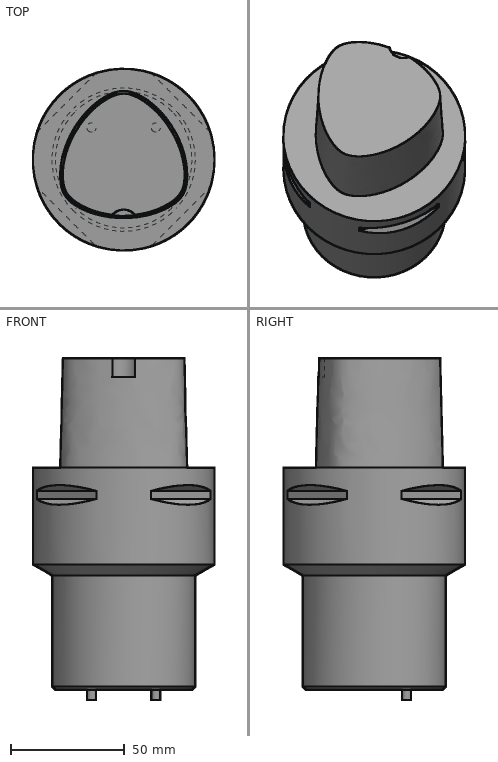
import cadquery as cq
import math

total_height = 150.5
pin_length = 4.5
shank_height = 48.2
flange_bottom_z = 59.7
flange_top_z = total_height - shank_height

flange_radius = 80.0 / 2
body_radius = 63.0 / 2
cone_angle = 30
cone_height = (flange_radius - body_radius) * math.tan(math.radians(cone_angle))
bottom_chamfer = 1.5

shank_base_radius = 28.0
lobe_height = 2.3
taper_per_side = 1 / 40
shank_end_radius = shank_base_radius - shank_height * taper_per_side
outline_points = 72

notch_radius = 6.3
notch_depth = 8.3
notch_center_y = -28.3

groove_count = 4
first_groove_angle = 45
groove_floor_distance = 35.5
groove_floor_height = 3.5
groove_wall_angle = 30
groove_drop = 12.0

pin_diameter = 4.0
pin_offset = 14.1


def make_body():
    """Revolved lower body, cone and flange."""
    return (
        cq.Workplane("XZ")
        .moveTo(0, pin_length)
        .lineTo(body_radius - bottom_chamfer, pin_length)
        .lineTo(body_radius, pin_length + bottom_chamfer)
        .lineTo(body_radius, flange_bottom_z - cone_height)
        .lineTo(flange_radius, flange_bottom_z)
        .lineTo(flange_radius, flange_top_z)
        .lineTo(0, flange_top_z)
        .close()
        .revolve(360, (0, 0, 0), (0, 1, 0))
    )


def lobed_point(mean_radius, angle):
    """Point of a constant-width three-lobed curve with one lobe toward +Y."""
    along_lobe = (
        mean_radius * math.cos(angle)
        + 2 * lobe_height * math.cos(2 * angle)
        - lobe_height * math.cos(4 * angle)
    )
    across_lobe = (
        mean_radius * math.sin(angle)
        - 2 * lobe_height * math.sin(2 * angle)
        - lobe_height * math.sin(4 * angle)
    )
    return (-across_lobe, along_lobe)


def lobed_outline(mean_radius, z):
    """Closed smooth wire of the lobed section at height z."""
    points = []
    for index in range(outline_points):
        x, y = lobed_point(mean_radius, 2 * math.pi * index / outline_points)
        points.append(cq.Vector(x, y, z))
    return cq.Wire.assembleEdges([cq.Edge.makeSpline(points, periodic=True)])


def make_shank():
    """Lobed shank, narrowing upward, with its end notch."""
    base = lobed_outline(shank_base_radius, flange_top_z)
    end = lobed_outline(shank_end_radius, total_height)
    shank = cq.Workplane(cq.Solid.makeLoft([base, end], True))
    notch = (
        cq.Workplane("XY", origin=(0, notch_center_y, total_height - notch_depth))
        .circle(notch_radius)
        .extrude(notch_depth)
    )
    return shank.cut(notch)


def make_groove(angle):
    """Straight groove cutter with flared walls, turned to the given angle about Z."""
    depth = flange_radius - groove_floor_distance
    half_floor = groove_floor_height / 2
    half_mouth = half_floor + depth * math.tan(math.radians(groove_wall_angle))
    middle_z = flange_top_z - groove_drop
    return (
        cq.Workplane("XZ")
        .polyline(
            [
                (groove_floor_distance, middle_z - half_floor),
                (flange_radius, middle_z - half_mouth),
                (flange_radius, middle_z + half_mouth),
                (groove_floor_distance, middle_z + half_floor),
            ]
        )
        .close()
        .extrude(flange_radius, both=True)
        .rotate((0, 0, 0), (0, 0, 1), angle)
    )


def make_pins():
    """Two round pins standing out below the body."""
    return (
        cq.Workplane("XY")
        .pushPoints([(-pin_offset, pin_offset), (pin_offset, pin_offset)])
        .circle(pin_diameter / 2)
        .extrude(pin_length)
    )


result = make_body()
for groove_index in range(groove_count):
    groove_angle = first_groove_angle + groove_index * 360 / groove_count
    result = result.cut(make_groove(groove_angle))
result = result.union(make_shank()).union(make_pins())